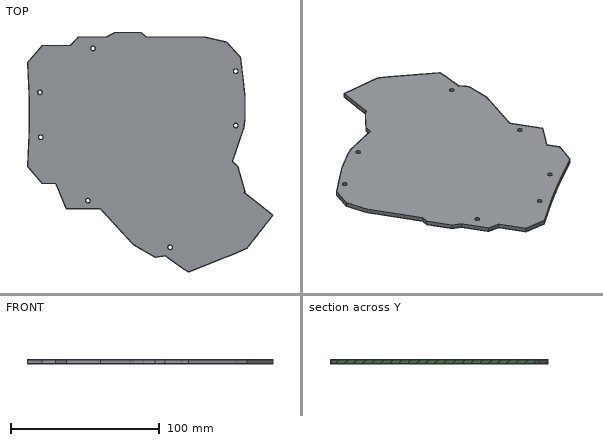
import cadquery as cq

length = 165.2
width = 161.3
thickness = 3.0
hole_diameter = 3.0

upper_shoulder_y = 152.5
upper_edge_y = 158.3
lower_shoulder_y = 59.5
lower_step_y = 42.5
shoulder_x = 9.9
corner_height = 11.5
right_edge_x = 146.4

left_middle_y = (upper_shoulder_y + lower_shoulder_y) / 2
left_corner_rise = left_middle_y - lower_shoulder_y - corner_height
bow_outer_x = 0.8
bow_outer_rise = 17.8
bow_inner_x = 1.2
bow_inner_rise = 9.3

left_edge = [
    (0, left_middle_y - left_corner_rise),
    (bow_outer_x, left_middle_y - bow_outer_rise),
    (bow_inner_x, left_middle_y - bow_inner_rise),
    (bow_inner_x, left_middle_y + bow_inner_rise),
    (bow_outer_x, left_middle_y + bow_outer_rise),
    (0, left_middle_y + left_corner_rise),
]

top_edge = [
    (shoulder_x, upper_shoulder_y),
    (28.8, upper_shoulder_y),
    (34.4, upper_edge_y),
    (53.2, upper_edge_y),
    (58.8, width),
    (76.5, width),
    (80.0, upper_edge_y),
    (119.0, upper_edge_y),
    (134.0, 154.8),
]

right_edge = [
    (143.5, 144.5),
    (145.4, 127.9),
    (right_edge_x, 118.8),
    (right_edge_x, 102.8),
    (145.7, 97.3),
    (138.0, 74.4),
    (141.6, 71.2),
    (146.5, 53.9),
    (145.9, 53.5),
    (153.3, 47.8),
    (length, 38.3),
]

bottom_edge = [
    (147.7, 16.0),
    (140.8, 12.9),
    (108.4, 0),
    (104.1, 2.6),
    (92.7, 10.9),
    (86.0, 9.9),
    (78.2, 14.4),
    (71.2, 18.5),
    (69.0, 20.8),
    (49.0, lower_step_y),
    (26.1, lower_step_y),
    (19.0, lower_shoulder_y),
    (shoulder_x, lower_shoulder_y),
]

right_hole_x = 140.1
hole_centers = [
    (44.1, 150.5),
    (8.5, 121.0),
    (9.0, 90.7),
    (right_hole_x, 135.2),
    (right_hole_x, 98.6),
    (40.6, 48.0),
    (96.0, 16.7),
]

outline = left_edge + top_edge + right_edge + bottom_edge
plate = cq.Workplane("XY").polyline(outline).close().extrude(thickness)

hole_tools = (
    cq.Workplane("XY")
    .pushPoints(hole_centers)
    .circle(hole_diameter / 2)
    .extrude(thickness)
)
result = plate.cut(hole_tools)